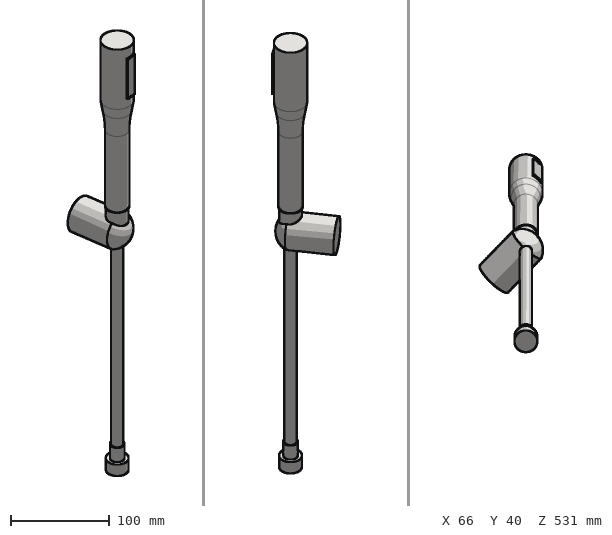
import cadquery as cq
import math

TOTAL_HEIGHT = 531.0
NUT_TOP = 14.5
SLEEVE_TOP = 32.0
HOLDER_AXIS_HEIGHT = 295.5
HANDLE_BOTTOM = 326.0
HANDLE_TOP = 420.5
FLARE_TOP = 444.5
HEAD_BOTTOM = 457.0

NUT_DIAMETER = 23.5
SLEEVE_DIAMETER = 15.0
HOSE_DIAMETER = 13.0
NECK_DIAMETER = 23.5
HANDLE_DIAMETER = 25.0
FLARE_TOP_DIAMETER = 29.5
HEAD_DIAMETER = 34.0

SPRAY_WIDTH = 11.5
SPRAY_HEIGHT = 49.0
SPRAY_CENTER_HEIGHT = 493.0
SPRAY_REACH = 18.0

HOLDER_DIAMETER = 40.0
HOLDER_BACK_TO_AXIS = 48.0
BARREL_LENGTH = 50.0
DOME_DEPTH = 13.5


def make_hand_shower():
    """Nut, sleeve, hose, neck, handle and head turned about the Z axis, plus the spray face."""
    nut_radius = NUT_DIAMETER / 2
    sleeve_radius = SLEEVE_DIAMETER / 2
    hose_radius = HOSE_DIAMETER / 2
    neck_radius = NECK_DIAMETER / 2
    handle_radius = HANDLE_DIAMETER / 2
    flare_radius = FLARE_TOP_DIAMETER / 2
    head_radius = HEAD_DIAMETER / 2

    flare_height = FLARE_TOP - HANDLE_TOP
    flare_step = flare_radius - handle_radius
    arc_radius = (flare_height**2 + flare_step**2) / (2 * flare_step)
    half_angle = math.asin(flare_height / arc_radius) / 2
    flare_middle = (
        handle_radius + arc_radius * (1 - math.cos(half_angle)),
        HANDLE_TOP + arc_radius * math.sin(half_angle),
    )

    turned = (
        cq.Workplane("XZ")
        .moveTo(0, 0)
        .lineTo(nut_radius, 0)
        .lineTo(nut_radius, NUT_TOP)
        .lineTo(sleeve_radius, NUT_TOP)
        .lineTo(sleeve_radius, SLEEVE_TOP)
        .lineTo(hose_radius, SLEEVE_TOP)
        .lineTo(hose_radius, HOLDER_AXIS_HEIGHT)
        .lineTo(neck_radius, HOLDER_AXIS_HEIGHT)
        .lineTo(neck_radius, HANDLE_BOTTOM)
        .lineTo(handle_radius, HANDLE_BOTTOM)
        .lineTo(handle_radius, HANDLE_TOP)
        .threePointArc(flare_middle, (flare_radius, FLARE_TOP))
        .lineTo(head_radius, HEAD_BOTTOM)
        .lineTo(head_radius, TOTAL_HEIGHT)
        .lineTo(0, TOTAL_HEIGHT)
        .close()
        .revolve(360, (0, 0, 0), (0, 1, 0))
    )
    spray_face = (
        cq.Workplane("YZ")
        .center(0, SPRAY_CENTER_HEIGHT)
        .rect(SPRAY_WIDTH, SPRAY_HEIGHT)
        .extrude(SPRAY_REACH)
    )
    return turned.union(spray_face)


def make_holder(hand_shower):
    """Barrel along X with a spherical-cap end, bored to seat the neck and pass the hose."""
    radius = HOLDER_DIAMETER / 2
    back = -HOLDER_BACK_TO_AXIS
    dome_start = back + BARREL_LENGTH
    dome_tip = dome_start + DOME_DEPTH

    dome_radius = (radius**2 + DOME_DEPTH**2) / (2 * DOME_DEPTH)
    half_angle = math.asin(radius / dome_radius) / 2
    dome_middle = (
        dome_tip - dome_radius * (1 - math.cos(half_angle)),
        dome_radius * math.sin(half_angle),
    )
    barrel = (
        cq.Workplane("XZ")
        .moveTo(back, 0)
        .lineTo(back, radius)
        .lineTo(dome_start, radius)
        .threePointArc(dome_middle, (dome_tip, 0))
        .close()
        .revolve(360, (0, 0, 0), (1, 0, 0))
        .translate((0, 0, HOLDER_AXIS_HEIGHT))
    )
    return barrel.cut(hand_shower)


hand_shower = make_hand_shower()
holder = make_holder(hand_shower)

result = cq.Compound.makeCompound([hand_shower.val(), holder.val()])